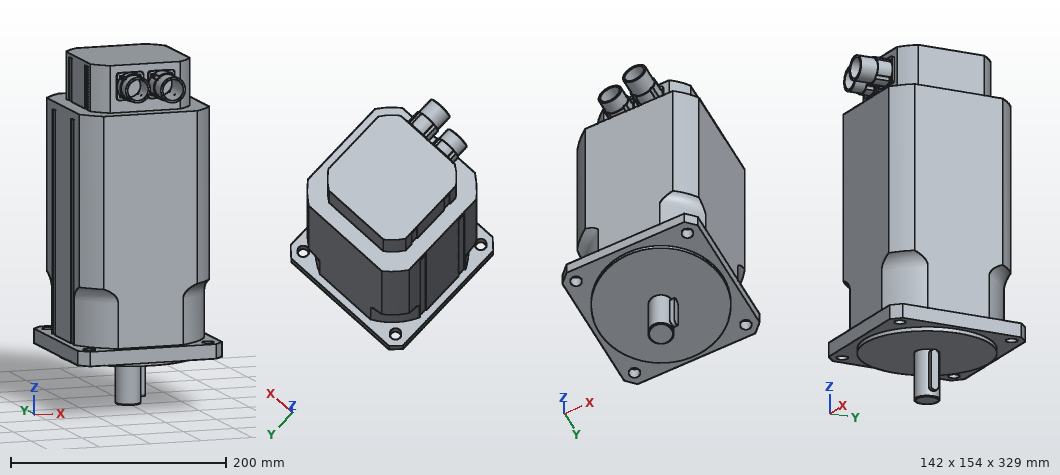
import cadquery as cq
import math


pilot_bottom = 46.5
flange_bottom = 50.5
flange_top = 64.0
relief_straight_top = 108.0
relief_top = 121.0
body_top = 284.3
cap_top = 329.0

flange_side = 142.0
flange_chamfer = 9.2
bolt_spacing = 116.8
bolt_hole_diameter = 11.0
pilot_diameter = 130.0

body_side = 128.0
body_corner_diameter = 157.5
relief_diameter = 143.0
cap_side = 98.0
cap_corner_diameter = 119.8

groove_width = 8.0
groove_depth = 1.0
body_groove_offset = 26.3
body_groove_top = 276.5
cap_groove_offset = 22.5
cap_groove_top = 325.0

shaft_diameter = 24.0
shaft_chamfer = 1.0
key_width = 8.0
key_bottom = 5.5
key_length = 40.0
key_outer_x = 15.8

connector_z = 309.0
connector_offset = 15.5
plate_side = 26.0
plate_thickness = 2.0
plate_corner_radius = 3.0
collar_diameter = plate_side
barrel_diameter = 24.0
bore_diameter = 20.0
screw_spacing = 18.0
screw_hole_diameter = 2.7
screw_clearance_diameter = 4.0
short_collar_end = 11.0
short_connector_length = 23.7
long_collar_end = 16.8
long_connector_length = 34.0


def disc(diameter, bottom, top):
    """Cylinder on the motor axis between two heights."""
    return cq.Workplane("XY").workplane(offset=bottom).circle(diameter / 2).extrude(top - bottom)


def rounded_block(side, corner_diameter, bottom, top):
    """Square block whose corners follow a circle about the motor axis."""
    block = cq.Workplane("XY").workplane(offset=bottom).rect(side, side).extrude(top - bottom)
    return block.intersect(disc(corner_diameter, bottom, top))


def make_flange():
    """Chamfered square flange with four bolt holes, and the pilot disc below it."""
    thickness = flange_top - flange_bottom
    base = cq.Workplane("XY").workplane(offset=flange_bottom)
    plate = base.rect(flange_side, flange_side).extrude(thickness)
    plate = plate.edges("|Z").chamfer(flange_chamfer)
    plate = plate.faces(">Z").workplane().rect(bolt_spacing, bolt_spacing, forConstruction=True)
    plate = plate.vertices().hole(bolt_hole_diameter)
    return plate.union(disc(pilot_diameter, pilot_bottom, flange_bottom))


def make_corner_relief():
    """Ring that cuts the lower body corners back, with a concave run-out above the bolt holes."""
    inner = relief_diameter / 2
    outer = body_corner_diameter / 2
    clear = flange_side
    rise = relief_top - relief_straight_top
    step = outer - inner
    arc_radius = (rise**2 + step**2) / (2 * step)
    half_angle = math.asin(rise / arc_radius) / 2
    middle = (
        inner + arc_radius * (1 - math.cos(half_angle)),
        relief_straight_top + arc_radius * math.sin(half_angle),
    )
    profile = (
        cq.Workplane("XZ")
        .moveTo(inner, flange_top)
        .lineTo(inner, relief_straight_top)
        .threePointArc(middle, (outer, relief_top))
        .lineTo(clear, relief_top)
        .lineTo(clear, flange_top)
        .close()
    )
    return profile.revolve(360, (0, 0, 0), (0, 1, 0))


def make_side_grooves(side, offset, bottom, top):
    """Pair of shallow vertical grooves cut into the -X side of a square block."""
    return (
        cq.Workplane("YZ")
        .workplane(offset=-side / 2)
        .pushPoints([(y, (bottom + top) / 2) for y in (-offset, offset)])
        .rect(groove_width, top - bottom)
        .extrude(groove_depth)
    )


def make_shaft():
    """Shaft with a chamfered end and a round-ended key on its +X side."""
    shaft = disc(shaft_diameter, 0, pilot_bottom).faces("<Z").chamfer(shaft_chamfer)
    key = (
        cq.Workplane("YZ")
        .center(0, key_bottom + key_length / 2)
        .slot2D(key_length, key_width, 90)
        .extrude(key_outer_x)
    )
    return shaft.union(key)


def make_motor():
    """Flange, body, cap and shaft as one solid."""
    body = rounded_block(body_side, body_corner_diameter, flange_top, body_top)
    body = body.cut(make_corner_relief())
    body = body.cut(make_side_grooves(body_side, body_groove_offset, flange_top, body_groove_top))
    cap = rounded_block(cap_side, cap_corner_diameter, body_top, cap_top)
    cap = cap.cut(make_side_grooves(cap_side, cap_groove_offset, body_top, cap_groove_top))
    return make_flange().union(body).union(cap).union(make_shaft())


def make_connector(x, collar_end, length):
    """Round socket on a square screw plate, standing on the cap's -Y face."""
    base = cq.Workplane("XZ", origin=(x, -cap_side / 2, connector_z))
    front = base.workplane(offset=plate_thickness)
    plate = base.rect(plate_side, plate_side).extrude(plate_thickness).edges("|Y").fillet(plate_corner_radius)
    collar = front.circle(collar_diameter / 2).extrude(collar_end - plate_thickness)
    barrel = front.circle(barrel_diameter / 2).extrude(length - plate_thickness)
    bore = front.circle(bore_diameter / 2).extrude(length - plate_thickness)
    screws = base.rect(screw_spacing, screw_spacing, forConstruction=True).vertices()
    screw_holes = screws.circle(screw_hole_diameter / 2).extrude(plate_thickness)
    clearances = front.rect(screw_spacing, screw_spacing, forConstruction=True).vertices()
    clearances = clearances.circle(screw_clearance_diameter / 2).extrude(collar_end - plate_thickness)
    socket = collar.union(barrel).cut(clearances).cut(bore)
    return plate.cut(screw_holes).union(socket)


motor = make_motor()
connectors = []
for x, collar_end, length in (
    (-connector_offset, short_collar_end, short_connector_length),
    (connector_offset, long_collar_end, long_connector_length),
):
    connectors.append(make_connector(x, collar_end, length).solids().val())

result = cq.Compound.makeCompound([motor.solids().val(), *connectors])